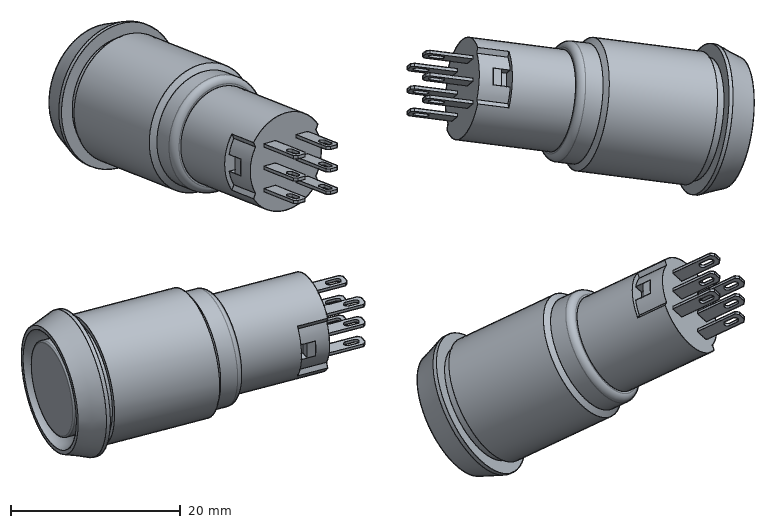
import cadquery as cq
import math


bezel_cone_end = 3.15
bezel_back = 3.65
thread_start = 4.7
thread_end = 18.9
collar_end = 21.95
rear_end = 33.9
overall_length = 39.7

rim_diameter = 15.7
bezel_diameter = 18.0
neck_diameter = 14.7
thread_diameter = 15.9
collar_diameter = 14.4
rear_diameter = 12.2

thread_chamfer_length = 0.5
collar_fillet = 0.85

dish_diameter = 14.7
dish_depth = 2.0
dish_mid_x = 1.2
dish_mid_radius = 6.85
bore_diameter = 12.0
bore_bottom = 4.0

button_diameter = 11.8
button_front = 0.3
button_edge_fillet = 0.2

recess_length = 3.95
recess_floor_diameter = 11.0
recess_outer_half_height = 3.52
recess_floor_half_height = 2.9
wedge_overrun = 0.5

latch_height = 2.1
latch_length = 2.15
latch_flat_y = 5.38
latch_slot_length = latch_length / 2
latch_slot_bottom_y = 4.2

terminal_width = 1.8
terminal_thickness = 0.4
terminal_tip_chamfer = 0.38
terminal_column_spacing = 5.0
terminal_row_spacing = 2.8
eyelet_length = 1.9
eyelet_width = 0.85
eyelet_corner_radius = 0.4
eyelet_tip_margin = 0.6


def box_between(x_range, y_range, z_range):
    """Box given by its lower and upper limits on each axis."""
    sizes = [high - low for low, high in (x_range, y_range, z_range)]
    lows = (x_range[0], y_range[0], z_range[0])
    return cq.Workplane("XY").box(*sizes, centered=False).translate(lows)


def make_shell():
    """Turned outside of the housing: bezel, neck, thread, collar and rear barrel."""
    thread_radius = thread_diameter / 2
    collar_radius = collar_diameter / 2
    rear_radius = rear_diameter / 2
    fillet_mid = collar_fillet * (1 - math.sqrt(0.5))
    outline = (
        cq.Workplane("XY")
        .lineTo(0, rim_diameter / 2)
        .lineTo(bezel_cone_end, bezel_diameter / 2)
        .lineTo(bezel_back, bezel_diameter / 2)
        .lineTo(bezel_back, neck_diameter / 2)
        .lineTo(thread_start, neck_diameter / 2)
        .lineTo(thread_start, thread_radius)
        .lineTo(thread_end - thread_chamfer_length, thread_radius)
        .lineTo(thread_end, collar_radius)
        .lineTo(collar_end - collar_fillet, collar_radius)
        .threePointArc(
            (collar_end - fillet_mid, collar_radius - fillet_mid),
            (collar_end, collar_radius - collar_fillet),
        )
        .lineTo(collar_end, rear_radius)
        .lineTo(rear_end, rear_radius)
        .lineTo(rear_end, 0)
        .close()
    )
    return outline.revolve(360, (0, 0, 0), (1, 0, 0))


def make_front_opening():
    """Concave dish in the bezel, running into the blind bore of the button."""
    dish_radius = dish_diameter / 2
    bore_radius = bore_diameter / 2
    outline = (
        cq.Workplane("XY")
        .lineTo(0, dish_radius)
        .threePointArc((dish_mid_x, dish_mid_radius), (dish_depth, bore_radius))
        .lineTo(bore_bottom, bore_radius)
        .lineTo(bore_bottom, 0)
        .close()
    )
    return outline.revolve(360, (0, 0, 0), (1, 0, 0))


def make_side_recess():
    """Recess on the -Y side of the rear barrel, with its latch pocket."""
    recess_start = rear_end - recess_length
    floor_radius = recess_floor_diameter / 2
    outer_y = math.sqrt((rear_diameter / 2) ** 2 - recess_outer_half_height**2)
    floor_y = math.sqrt(floor_radius**2 - recess_floor_half_height**2)
    wall_slope = (recess_outer_half_height - recess_floor_half_height) / (outer_y - floor_y)
    outside_y = rear_diameter / 2 + wedge_overrun
    inside_y = floor_y - wedge_overrun
    outside_half_height = recess_outer_half_height + wall_slope * (outside_y - outer_y)
    inside_half_height = recess_floor_half_height - wall_slope * (floor_y - inside_y)
    wedge = (
        cq.Workplane("YZ", origin=(recess_start, 0, 0))
        .polyline(
            [
                (-outside_y, -outside_half_height),
                (-inside_y, -inside_half_height),
                (-inside_y, inside_half_height),
                (-outside_y, outside_half_height),
            ]
        )
        .close()
        .extrude(recess_length)
    )
    floor_core = cq.Workplane("YZ", origin=(recess_start, 0, 0)).circle(floor_radius).extrude(recess_length)
    latch_z = (-latch_height / 2, latch_height / 2)
    flat = box_between((recess_start, recess_start + latch_length), (-outside_y, -latch_flat_y), latch_z)
    slot = box_between(
        (recess_start, recess_start + latch_slot_length), (-outside_y, -latch_slot_bottom_y), latch_z
    )
    return wedge.cut(floor_core).union(flat).union(slot)


def make_terminal():
    """One flat solder terminal on the axis, with an eyelet and chamfered tip corners."""
    length = overall_length - rear_end
    blade = (
        cq.Workplane("XY")
        .box(length, terminal_width, terminal_thickness)
        .edges("|Z and >X")
        .chamfer(terminal_tip_chamfer)
        .translate((rear_end + length / 2, 0, 0))
    )
    eyelet = (
        cq.Workplane("XY")
        .box(eyelet_length, eyelet_width, terminal_thickness)
        .edges("|Z")
        .fillet(eyelet_corner_radius)
        .translate((overall_length - eyelet_tip_margin - eyelet_length / 2, 0, 0))
    )
    return blade.cut(eyelet)


def make_housing():
    """Housing with front opening, two opposite side recesses and six terminals."""
    housing = make_shell().cut(make_front_opening())
    recess = make_side_recess()
    for turn in (0, 180):
        housing = housing.cut(recess.rotate((0, 0, 0), (1, 0, 0), turn))
    terminal = make_terminal()
    for column in (-0.5, 0.5):
        for row in (-1, 0, 1):
            place = (0, column * terminal_column_spacing, row * terminal_row_spacing)
            housing = housing.union(terminal.translate(place))
    return housing


def make_button():
    """Round button that rests on the bottom of the bore."""
    return (
        cq.Workplane("YZ", origin=(button_front, 0, 0))
        .circle(button_diameter / 2)
        .extrude(bore_bottom - button_front)
        .edges("<X")
        .fillet(button_edge_fillet)
    )


housing = make_housing()
button = make_button()

result = cq.Compound.makeCompound([housing.val(), button.val()])